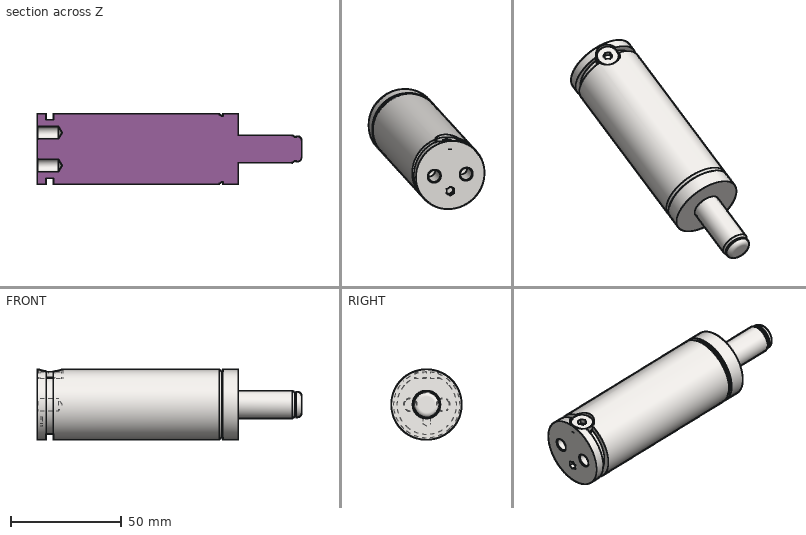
import cadquery as cq
import math

total_length = 120.0
body_radius = 16.02
shoulder_x = 91.2
rod_radius = 6.4

clamp_groove_start = 4.1
clamp_groove_end = 7.3
clamp_groove_radius = 13.5

collar_groove_start = 82.5
collar_groove_floor = 83.6
collar_groove_end = 84.2
collar_groove_radius = 15.0

rod_chamfer_start = 115.7
tip_groove_start = 116.8
tip_groove_end = 117.5
tip_groove_radius = 5.5
lip_radius = 5.9
lip_round = 2.2

plug_x = 6.0
plug_radius = 4.9
plug_top_z = 14.9
seat_radius = 5.5
seat_floor_z = 12.0
hex_corner_diameter = 4.1
hex_depth = 2.4
rear_plug_z = -7.5

hole_offset_y = 7.5
hole_radius = 2.8
hole_depth = 9.6
hole_chamfer = 0.4
drill_point_angle = 118.0


def make_turned_body():
    """Revolve the half profile of barrel, grooves and rod about X."""
    round_start_x = total_length - lip_round
    diagonal = lip_round * math.sqrt(0.5)
    round_center_r = lip_radius - lip_round
    return (
        cq.Workplane("XY")
        .lineTo(0, body_radius)
        .lineTo(clamp_groove_start, body_radius)
        .lineTo(clamp_groove_start, clamp_groove_radius)
        .lineTo(clamp_groove_end, clamp_groove_radius)
        .lineTo(clamp_groove_end, body_radius)
        .lineTo(collar_groove_start, body_radius)
        .lineTo(collar_groove_floor, collar_groove_radius)
        .lineTo(collar_groove_end, collar_groove_radius)
        .lineTo(collar_groove_end, body_radius)
        .lineTo(shoulder_x, body_radius)
        .lineTo(shoulder_x, rod_radius)
        .lineTo(rod_chamfer_start, rod_radius)
        .lineTo(tip_groove_start, tip_groove_radius)
        .lineTo(tip_groove_end, tip_groove_radius)
        .lineTo(tip_groove_end, lip_radius)
        .lineTo(round_start_x, lip_radius)
        .threePointArc(
            (round_start_x + diagonal, round_center_r + diagonal),
            (total_length, round_center_r),
        )
        .lineTo(total_length, 0)
        .close()
        .revolve(360, (0, 0), (1, 0))
    )


def make_rear_hole(y):
    """Drilled hole with a chamfered mouth and a conical bottom."""
    mouth_radius = hole_radius + hole_chamfer
    point_length = hole_radius / math.tan(math.radians(drill_point_angle / 2))
    return (
        cq.Workplane("XY")
        .moveTo(0, y)
        .lineTo(0, y + mouth_radius)
        .lineTo(hole_chamfer, y + hole_radius)
        .lineTo(hole_depth, y + hole_radius)
        .lineTo(hole_depth + point_length, y)
        .close()
        .revolve(360, (0, y), (1, y))
    )


def add_top_plug(body):
    """Sink a round seat into the barrel and stand a socketed plug in it."""
    seat_height = body_radius - seat_floor_z
    plug_height = plug_top_z - seat_floor_z
    seat_plane = cq.Workplane("XY", origin=(plug_x, 0, seat_floor_z))
    seat = seat_plane.circle(seat_radius).extrude(seat_height)
    plug = seat_plane.circle(plug_radius).extrude(plug_height)
    socket = (
        cq.Workplane("XY", origin=(plug_x, 0, plug_top_z))
        .polygon(6, hex_corner_diameter)
        .extrude(-hex_depth)
    )
    return body.cut(seat).union(plug).cut(socket)


def make_rear_socket():
    """Hexagon socket in the rear face, with corners pointing up and down."""
    return (
        cq.Workplane("YZ", origin=(0, 0, rear_plug_z))
        .transformed(rotate=(0, 0, 90))
        .polygon(6, hex_corner_diameter)
        .extrude(hex_depth)
    )


result = add_top_plug(make_turned_body())
result = result.cut(make_rear_socket())
for side in (-1, 1):
    result = result.cut(make_rear_hole(side * hole_offset_y))